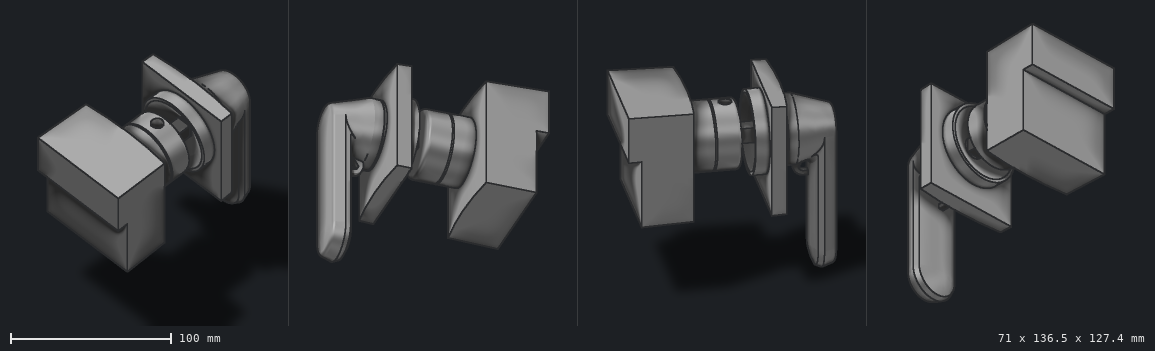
import cadquery as cq
import math


COLLAR_RADIUS = 22.5
FACE_HALF_WIDTH = 34.7
FACE_CENTER_X = -2.0
FACE_TOP = 31.4
FACE_BOTTOM = -42.9
FACE_RISE = 2.2

BLOCK_LENGTH = 41.4
BLOCK_DRAFT = 0.8
STEP_DEPTH = 8.2
STEP_Z = 1.6
COLLAR_END = 57.2

COUPLING_START = 58.4
COUPLING_END = 74.3
COUPLING_ROUND = 2.5
SCREW_Y = 67.2
SCREW_HEAD_RADIUS = 4.1
SCREW_HEAD_FLOOR = 13.6
SCREW_HOLE_RADIUS = 1.8
SHAFT_SIDE = 10.1

RING_RADIUS = 27.0
RING_START = 81.6
PLATE_START = 90.6
PLATE_SIDE_END = 100.2
PLATE_DRAFT = 0.3
SEAT_END = 103.2
DISH_RADIUS = 24.8
DISH_MID_RADIUS = 17.5
DISH_MID_DEPTH = 3.3
DISH_FLOOR_RADIUS = 7.1

SEAT_GAP = 0.3
HANDLE_START = SEAT_END + SEAT_GAP
CONE_START = 109.7
HANDLE_END = 136.5
TIP_Z = -78.2
GRIP_RADIUS = 17.0
GRIP_WIDEST_Y = 127.0
GRIP_BACK_Y = 119.3
GRIP_BACK_EDGE_RADIUS = 15.4
GRIP_BACK_EDGE_Y = 123.3
CROWN_EDGE_Y = 135.0
CROWN_ROUND = 3.3
NECK_ROUND = 2.7
CROWN_EDGE_RADIUS = 14.5

LUG_THICKNESS = 4.1
LUG_BOTTOM = -32.0
LUG_CORNER_RADIUS = 6.8
LUG_EDGE_ROUND = 0.8
LUG_ROOT_Z = -16.4
EYE_RADIUS = 3.5
EYE_CORNER = (113.2, -26.1)
EYE_TOP = (116.3, -20.7)


def cylinder(radius, start, end):
    """A cylinder on the turning axis from y = start to y = end."""
    return cq.Workplane("XZ", origin=(0, start, 0)).circle(radius).extrude(start - end)


def arc_rise(half_chord, rise, distance):
    """Height above the chord, at a distance from its middle, of an arc with the given rise."""
    radius = (half_chord**2 + rise**2) / (2 * rise)
    return math.sqrt(radius**2 - distance**2) - radius + rise


def domed_block(start, side_end, draft):
    """A drafted rectangular block whose front face is domed across X."""
    def section(y):
        growth = draft * (side_end - y) / (side_end - start)
        left = FACE_CENTER_X - FACE_HALF_WIDTH - growth
        right = FACE_CENTER_X + FACE_HALF_WIDTH + growth
        top = FACE_TOP + growth
        bottom = FACE_BOTTOM - growth
        return cq.Wire.makePolygon(
            [cq.Vector(x, y, z) for x, z in
             ((left, bottom), (right, bottom), (right, top), (left, top))],
            close=True,
        )

    crown_end = side_end + FACE_RISE
    body = cq.Workplane(cq.Solid.makeLoft([section(start), section(crown_end)], True))
    dome_radius = (FACE_HALF_WIDTH**2 + FACE_RISE**2) / (2 * FACE_RISE)
    dome = (
        cq.Workplane("XY", origin=(FACE_CENTER_X, crown_end - dome_radius, FACE_BOTTOM - 2 * draft))
        .circle(dome_radius)
        .extrude(FACE_TOP - FACE_BOTTOM + 4 * draft)
    )
    return body.intersect(dome)


def make_switch_block():
    """The block with a step at the lower rear and a round collar in front."""
    block = domed_block(0, BLOCK_LENGTH, BLOCK_DRAFT)
    step = cq.Workplane("XY").box(
        4 * FACE_HALF_WIDTH, STEP_DEPTH, 2 * abs(FACE_BOTTOM), centered=(True, False, False)
    ).translate((0, 0, STEP_Z - 2 * abs(FACE_BOTTOM)))
    collar = cylinder(COLLAR_RADIUS, BLOCK_LENGTH, COLLAR_END)
    return block.cut(step).union(collar)


def make_coupling():
    """The round coupling with a stepped screw hole from above down to the shaft."""
    coupling = cylinder(COLLAR_RADIUS, COUPLING_START, COUPLING_END)
    coupling = coupling.faces(">Y").edges().fillet(COUPLING_ROUND)
    for radius, floor in ((SCREW_HEAD_RADIUS, SCREW_HEAD_FLOOR), (SCREW_HOLE_RADIUS, SHAFT_SIDE / 2)):
        hole = cq.Workplane("XY", origin=(0, SCREW_Y, floor)).circle(radius).extrude(COLLAR_RADIUS)
        coupling = coupling.cut(hole)
    return coupling


def make_plate_and_shaft():
    """The front plate with its dished ring, carrying the square shaft and the coupling."""
    plate = domed_block(PLATE_START, PLATE_SIDE_END, PLATE_DRAFT)
    plate = plate.union(cylinder(COLLAR_RADIUS, PLATE_SIDE_END, SEAT_END))
    plate = plate.union(cylinder(RING_RADIUS, RING_START, PLATE_START))
    dish = (
        cq.Workplane("XY")
        .polyline([
            (0, RING_START),
            (DISH_RADIUS, RING_START),
            (DISH_MID_RADIUS, RING_START + DISH_MID_DEPTH),
            (DISH_FLOOR_RADIUS, PLATE_START),
            (0, PLATE_START),
        ])
        .close()
        .revolve(360, (0, 0), (0, 1))
    )
    shaft = cq.Workplane("XZ", origin=(0, COUPLING_END, 0)).rect(SHAFT_SIDE, SHAFT_SIDE)
    shaft = shaft.extrude(COUPLING_END - PLATE_START)
    return plate.cut(dish).union(shaft).union(make_coupling())


def crowned_profile(lower_edges, start_y):
    """Half outline in the XY plane: the given lower edges, then the sloping side and the crown."""
    widest = cq.Vector(GRIP_RADIUS, GRIP_WIDEST_Y)
    crown_edge = cq.Vector(CROWN_EDGE_RADIUS, CROWN_EDGE_Y)
    crown_top = cq.Vector(0, HANDLE_END)
    middle = CROWN_EDGE_RADIUS / 2
    rise = HANDLE_END - CROWN_EDGE_Y
    crown_middle = cq.Vector(middle, CROWN_EDGE_Y + arc_rise(CROWN_EDGE_RADIUS, rise, middle))
    outline = cq.Wire.assembleEdges(lower_edges + [
        cq.Edge.makeLine(widest, crown_edge),
        cq.Edge.makeThreePointArc(crown_edge, crown_middle, crown_top),
        cq.Edge.makeLine(crown_top, cq.Vector(0, start_y)),
    ])
    corner = [v for v in outline.Vertices() if (v.Center() - crown_edge).Length < CROWN_ROUND / 10]
    return outline.fillet2D(CROWN_ROUND, corner)


def head_profile():
    """Half outline of the round head: base cylinder, cone and crown."""
    points = [
        cq.Vector(0, HANDLE_START),
        cq.Vector(COLLAR_RADIUS, HANDLE_START),
        cq.Vector(COLLAR_RADIUS, CONE_START),
        cq.Vector(GRIP_RADIUS, GRIP_WIDEST_Y),
    ]
    edges = [cq.Edge.makeLine(a, b) for a, b in zip(points, points[1:])]
    return crowned_profile(edges, HANDLE_START)


def grip_profile():
    """Half outline of the grip: bulging back, narrow bevel, sloping side and crown."""
    back = cq.Vector(0, GRIP_BACK_Y)
    back_edge = cq.Vector(GRIP_BACK_EDGE_RADIUS, GRIP_BACK_EDGE_Y)
    middle = GRIP_BACK_EDGE_RADIUS / 2
    bulge = GRIP_BACK_EDGE_Y - GRIP_BACK_Y
    back_middle = cq.Vector(
        middle, GRIP_BACK_EDGE_Y - arc_rise(GRIP_BACK_EDGE_RADIUS, bulge, middle)
    )
    edges = [
        cq.Edge.makeThreePointArc(back, back_middle, back_edge),
        cq.Edge.makeLine(back_edge, cq.Vector(GRIP_RADIUS, GRIP_WIDEST_Y)),
    ]
    return crowned_profile(edges, GRIP_BACK_Y)


def revolved(profile):
    """A half outline turned into a full body about the turning axis."""
    return cq.Workplane(
        cq.Solid.revolve(profile, [], 360, cq.Vector(0, 0, 0), cq.Vector(0, 1, 0))
    )


def make_lug():
    """The thin lug behind the grip, with an eye that opens onto the grip and the cone."""
    center_y = CONE_START + LUG_CORNER_RADIUS
    center_z = LUG_BOTTOM + LUG_CORNER_RADIUS
    diagonal = math.sqrt(0.5)
    lug = (
        cq.Workplane("YZ", origin=(-LUG_THICKNESS / 2, 0, 0))
        .moveTo(CONE_START, LUG_ROOT_Z)
        .lineTo(CONE_START, center_z)
        .threePointArc(
            (center_y - LUG_CORNER_RADIUS * diagonal, center_z - LUG_CORNER_RADIUS * diagonal),
            (center_y, LUG_BOTTOM),
        )
        .lineTo(GRIP_BACK_EDGE_Y, LUG_BOTTOM)
        .lineTo(GRIP_BACK_EDGE_Y, LUG_ROOT_Z)
        .close()
        .extrude(LUG_THICKNESS)
        .faces("<X or >X")
        .edges()
        .fillet(LUG_EDGE_ROUND)
    )
    eye = (
        cq.Workplane("YZ", origin=(-LUG_THICKNESS, 0, 0))
        .moveTo(GRIP_BACK_EDGE_Y, center_z - EYE_RADIUS)
        .lineTo(center_y, center_z - EYE_RADIUS)
        .radiusArc(EYE_CORNER, EYE_RADIUS)
        .lineTo(*EYE_TOP)
        .lineTo(GRIP_BACK_EDGE_Y, EYE_TOP[1])
        .close()
        .extrude(2 * LUG_THICKNESS)
    )
    return lug.cut(eye)


def make_handle():
    """The round head with the grip hanging from it and the lug in the corner between them."""
    profile = grip_profile()
    half_grip = cq.Workplane(cq.Solid.extrudeLinear(profile, [], cq.Vector(0, 0, TIP_Z)))
    tip = revolved(profile).translate((0, 0, TIP_Z))
    handle = revolved(head_profile()).union(half_grip).union(half_grip.mirror("YZ")).union(tip)
    neck_box = cq.selectors.BoxSelector(
        (-GRIP_BACK_EDGE_RADIUS, CONE_START, -COLLAR_RADIUS), (GRIP_BACK_EDGE_RADIUS, GRIP_WIDEST_Y, -1.4)
    )
    handle = handle.edges("not %LINE").edges(neck_box).fillet(NECK_ROUND)
    return handle.union(make_lug())


switch_block = make_switch_block()
plate_and_shaft = make_plate_and_shaft()
handle = make_handle()

result = cq.Compound.makeCompound([switch_block.val(), plate_and_shaft.val(), handle.val()])